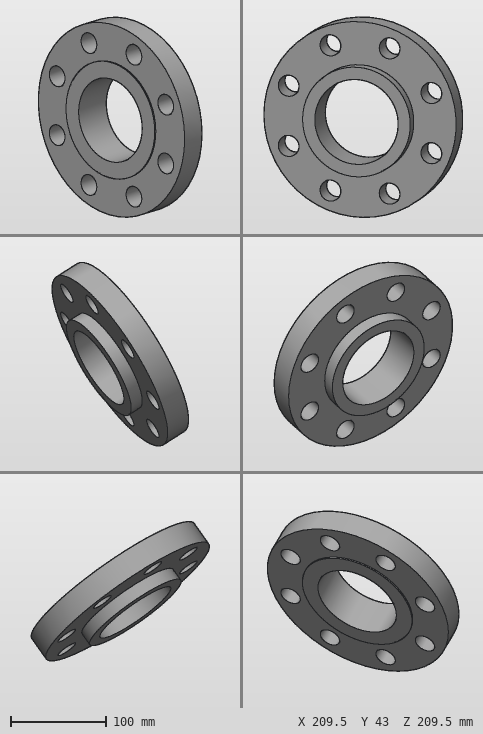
import cadquery as cq

flange_diameter = 209.5
hub_diameter = 117.3
raised_face_diameter = 127.0
bore_diameter = 90.7

total_length = 43.0
raised_face_height = 1.7
flange_thickness = 27.0
hub_height = total_length - raised_face_height - flange_thickness

bolt_circle_diameter = 168.3
bolt_hole_diameter = 22.5
bolt_hole_count = 8
bolt_hole_pitch = 360.0 / bolt_hole_count


def disc(diameter, start_y, length):
    """Solid disc around the Y axis, growing from start_y toward +Y."""
    plane = cq.Workplane("XZ", origin=(0, start_y, 0))
    return plane.circle(diameter / 2).extrude(-length)


flange_start = raised_face_height
hub_start = flange_start + flange_thickness
body = (
    disc(raised_face_diameter, 0, raised_face_height)
    .union(disc(flange_diameter, flange_start, flange_thickness))
    .union(disc(hub_diameter, hub_start, hub_height))
)

bore = disc(bore_diameter, 0, total_length)

bolt_holes = (
    cq.Workplane("XZ")
    .polarArray(bolt_circle_diameter / 2, bolt_hole_pitch / 2, 360, bolt_hole_count)
    .circle(bolt_hole_diameter / 2)
    .extrude(-total_length)
)

result = body.cut(bore).cut(bolt_holes)